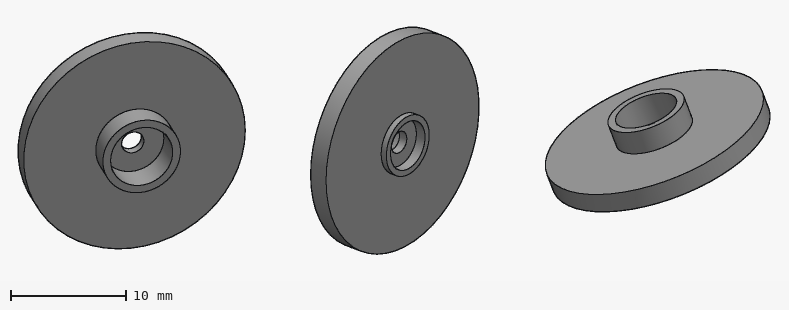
import cadquery as cq

disc_thickness = 1.8
rim_height = 0.6
hub_length = 2.2
recess_depth = 1.0
web_thickness = 0.85

disc_diameter = 20.0
rim_diameter = 5.6
recess_diameter = 4.5
hub_diameter = 7.0
hub_socket_diameter = 5.6
bore_diameter = 2.0

rim_face_x = -rim_height
hub_start_x = disc_thickness
hub_face_x = disc_thickness + hub_length
web_start_x = rim_face_x + recess_depth
socket_floor_x = web_start_x + web_thickness


def cylinder_along_x(diameter, start_x, end_x):
    """Solid cylinder on the X axis between two axial positions."""
    return cq.Workplane("YZ", origin=(start_x, 0, 0)).circle(diameter / 2).extrude(end_x - start_x)


disc = cylinder_along_x(disc_diameter, 0, disc_thickness)
rim = cylinder_along_x(rim_diameter, rim_face_x, 0)
hub = cylinder_along_x(hub_diameter, hub_start_x, hub_face_x)

recess = cylinder_along_x(recess_diameter, rim_face_x, web_start_x)
hub_socket = cylinder_along_x(hub_socket_diameter, socket_floor_x, hub_face_x)

bore = cylinder_along_x(bore_diameter, web_start_x, socket_floor_x)

result = disc.union(rim).union(hub).cut(recess).cut(hub_socket).cut(bore)